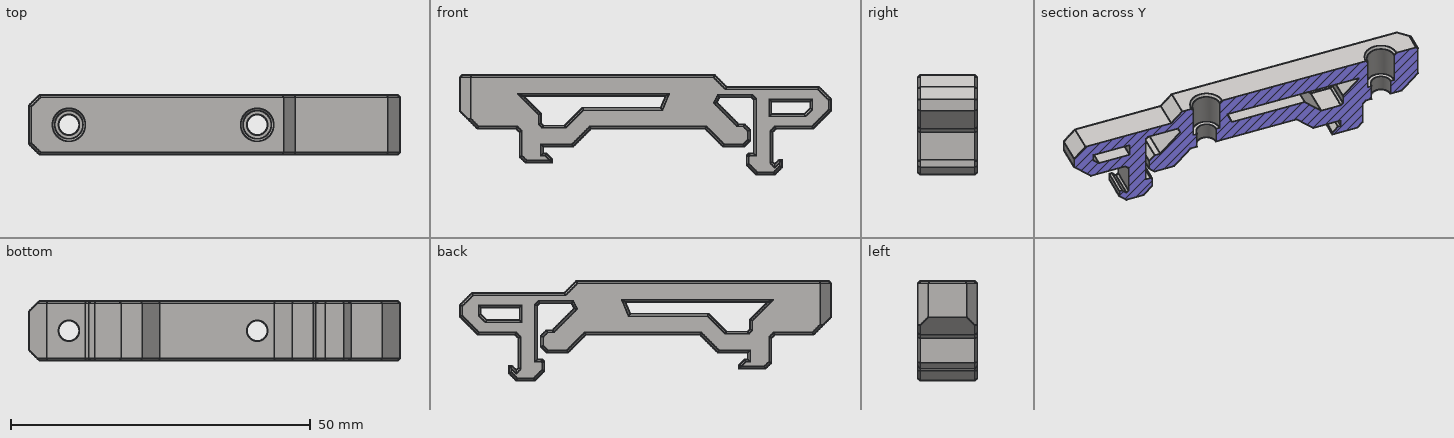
import cadquery as cq
import math

length = 62.0
width = 10.0
height = 16.6

top = 0.0
step_top = -2.0
underside = -9.0
lobe_bottom = -11.95
hook_bottom = -14.65
foot_bottom = -height
barb_top = -13.1

side_bevel = 0.4
end_corner = 1.8
beam_corner_fill = 0.55
small_corner_fill = 0.4

end_slope = 3.0
hook_left = 10.0
hook_right = 13.95
hook_corner = 1.0
barb_tip = 15.45
barb_start = 14.45

sag_drop = underside - lobe_bottom
sag_end = 18.9

finger_slope_start = 41.0
finger_right = 48.5
finger_corner = 1.0
finger_top = -8.2
gap_left = 42.9
gap_left_z = -4.6
gap_top = -3.7
gap_top_left = 43.35

step_start = 42.55
arm_top_corner = 2.05
arm_bottom_corner = 3.05
arm_nose_bottom = underside + arm_bottom_corner
leg_left = 49.05
leg_right = 52.2
heel_left = 47.85
heel_top_corner = 0.4
heel_bottom_corner = 1.6
toe_right = 53.8
toe_left = 53.3
toe_top = -14.15
toe_corner = 1.25
toe_notch_x = leg_right + small_corner_fill
toe_notch_z = toe_top - (toe_left - toe_notch_x)

window_top = -3.55
window_left = 10.65
window_wall = 13.6
window_slope = window_wall - window_left
window_floor = -8.45
window_shelf = -5.45
window_ramp_start = 17.5
window_shelf_end = 33.55
window_right = 34.35

slot_left = 52.0
slot_right = 58.45
slot_top = -4.45
slot_bottom = -6.5
slot_corner = 0.9

hole_stations = (6.7, 38.1)
screw_diameter = 3.4
counterbore_diameter = 4.7
counterbore_depth = 6.0
hole_bevel = side_bevel

outer_outline = [
    (0, top),
    (step_start, top),
    (step_start - step_top, step_top),
    (length - arm_top_corner, step_top),
    (length, step_top - arm_top_corner),
    (length, arm_nose_bottom),
    (length - arm_bottom_corner, underside),
    (leg_right + beam_corner_fill, underside),
    (leg_right, underside - beam_corner_fill),
    (leg_right, toe_notch_z + small_corner_fill),
    (toe_notch_x, toe_notch_z),
    (toe_left, toe_top),
    (toe_right, toe_top),
    (toe_right, foot_bottom + toe_corner),
    (toe_right - toe_corner, foot_bottom),
    (heel_left + heel_bottom_corner, foot_bottom),
    (heel_left, foot_bottom + heel_bottom_corner),
    (heel_left, barb_top - heel_top_corner),
    (heel_left + heel_top_corner, barb_top),
    (leg_left, barb_top),
    (leg_left, gap_top - small_corner_fill),
    (leg_left - small_corner_fill, gap_top),
    (gap_top_left, gap_top),
    (gap_left, gap_left_z),
    (gap_left + gap_left_z - finger_top, finger_top),
    (finger_right - finger_corner, finger_top),
    (finger_right, finger_top - finger_corner),
    (finger_right, lobe_bottom + finger_corner),
    (finger_right - finger_corner, lobe_bottom),
    (finger_slope_start + sag_drop, lobe_bottom),
    (finger_slope_start, underside),
    (sag_end + sag_drop, underside),
    (sag_end, lobe_bottom),
    (hook_right, lobe_bottom),
    (hook_right, barb_top),
    (barb_start, barb_top),
    (barb_tip, barb_top - (barb_tip - barb_start)),
    (barb_tip, hook_bottom),
    (hook_left + hook_corner, hook_bottom),
    (hook_left, hook_bottom + hook_corner),
    (hook_left, underside - beam_corner_fill),
    (hook_left - beam_corner_fill, underside),
    (end_slope, underside),
    (0, underside + end_slope),
]

window_outline = [
    (window_left, window_top),
    (window_right, window_top),
    (window_shelf_end, window_shelf),
    (window_ramp_start + window_shelf - window_floor, window_shelf),
    (window_ramp_start, window_floor),
    (window_wall + small_corner_fill, window_floor),
    (window_wall, window_floor + small_corner_fill),
    (window_wall, window_top - window_slope),
]

slot_outline = [
    (slot_left, slot_top),
    (slot_right, slot_top),
    (slot_right, slot_bottom + slot_corner),
    (slot_right - slot_corner, slot_bottom),
    (slot_left, slot_bottom),
]


def prism(outline):
    """Extrude an (x, z) outline over the full width."""
    return cq.Workplane("XZ").polyline(outline).close().extrude(width / 2, both=True)


def mitre(before, corner, after):
    """How far a bevel runs past an inner corner; zero at outer corners, where bevels simply overlap."""
    heading_in = math.atan2(corner[1] - before[1], corner[0] - before[0])
    heading_out = math.atan2(after[1] - corner[1], after[0] - corner[0])
    turn = math.remainder(heading_out - heading_in, 2 * math.pi)
    return side_bevel * math.tan(max(turn, 0) / 2)


def bevel_wedge(before, start, end, after):
    """Three-sided sliver to remove along one edge of the front face; material lies right of start-end."""
    run = math.dist(start, end)
    along = cq.Vector(end[0] - start[0], 0, end[1] - start[1]) / run
    inward = cq.Vector(along.z, 0, -along.x) * side_bevel
    depth = cq.Vector(0, side_bevel, 0)
    corner_a = cq.Vector(start[0], -width / 2, start[1])
    corner_b = cq.Vector(end[0], -width / 2, end[1])
    inner_a = corner_a + inward - along * mitre(before, start, end)
    inner_b = corner_b + inward + along * mitre(start, end, after)
    deep_a = corner_a + depth
    deep_b = corner_b + depth
    loops = [
        (corner_a, inner_a, deep_a),
        (corner_b, inner_b, deep_b),
        (corner_a, corner_b, inner_b, inner_a),
        (corner_a, corner_b, deep_b, deep_a),
        (inner_a, inner_b, deep_b, deep_a),
    ]
    faces = [cq.Face.makeFromWires(cq.Wire.makePolygon(loop, close=True)) for loop in loops]
    return cq.Solid.makeSolid(cq.Shell.makeShell(faces))


def outline_wedges(outline):
    """Bevel slivers for every edge of a closed outline, on both side faces."""
    wedges = []
    for i, start in enumerate(outline):
        end = outline[(i + 1) % len(outline)]
        after = outline[(i + 2) % len(outline)]
        wedge = bevel_wedge(outline[i - 1], start, end, after)
        wedges += [wedge, wedge.mirror("XZ")]
    return wedges


def screw_hole(x):
    """Counterbored through hole with a bevelled mouth, as a solid to remove."""
    mouth_radius = counterbore_diameter / 2 + hole_bevel
    profile = [
        (0, top),
        (mouth_radius, top),
        (counterbore_diameter / 2, top - hole_bevel),
        (counterbore_diameter / 2, top - counterbore_depth),
        (screw_diameter / 2, top - counterbore_depth),
        (screw_diameter / 2, underside),
        (0, underside),
    ]
    cutter = cq.Workplane("XZ").polyline(profile).close().revolve(360, (0, 0), (0, 1))
    return cutter.translate((x, 0, 0))


body = prism(outer_outline)
body = body.faces("<X").edges("|Z").chamfer(end_corner)
left_end_zone = cq.selectors.BoxSelector((-end_corner, -width, -end_corner), (end_corner, width, end_corner))
body = body.faces(">Z").edges(left_end_zone).chamfer(side_bevel)

body = body.cut(prism(window_outline)).cut(prism(slot_outline))

wedges = outline_wedges(outer_outline)
for opening in (window_outline, slot_outline):
    wedges += outline_wedges(opening[::-1])
body = cq.Workplane(body.val().cut(*wedges))

for station in hole_stations:
    body = body.cut(screw_hole(station))

result = cq.Workplane(body.solids().val())